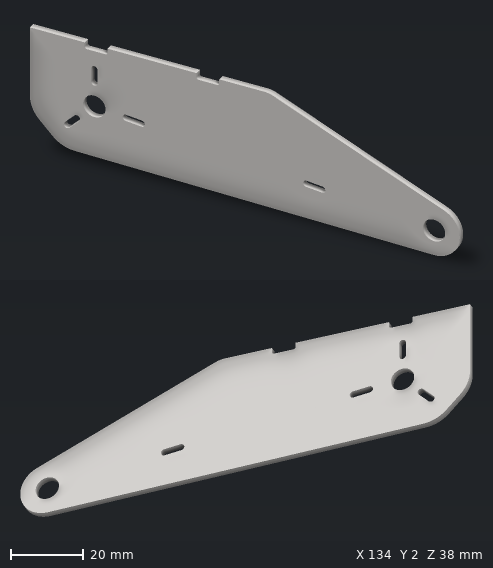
import cadquery as cq
import math

length = 134.0
height = 38.0
thickness = 2.0

tip_radius = 8.0
tip_x = length - tip_radius
tip_z = tip_radius
hole_diameter = 7.0

slope_start_x = 74.5
slope_corner_radius = 8.0
bevel = 11.8
bevel_corner_radius = 10.0
bottom_corner_z = 1.9

notch_centers_x = (20.6, 55.5)
notch_width = 7.1
notch_depth = 2.0
notch_corner_radius = 0.7

hub_x = 20.1
hub_z = height - 20.0
slot_width = 2.0
slot_length = 7.0
hub_slot_length = 6.3
hub_slot_distance = 9.9
near_slot_distance = 12.3
far_slot_distance = 37.5


def tip_tangent_point(corner, side):
    """Touching point on the tip arc of a line from corner; side 1 is above, -1 below."""
    dx = corner[0] - tip_x
    dz = corner[1] - tip_z
    spread = math.acos(tip_radius / math.hypot(dx, dz))
    angle = math.atan2(dz, dx) - side * spread
    return tip_x + tip_radius * math.cos(angle), tip_z + tip_radius * math.sin(angle)


def through_plate(sketch):
    """Extrude an XZ sketch from the front face at y = 0 to the back face."""
    return sketch.extrude(-thickness)


def make_plate():
    slope_corner = (slope_start_x, height)
    bottom_corner = (bevel - bottom_corner_z, bottom_corner_z)
    bevel_top = (0, bevel)
    plate = through_plate(
        cq.Workplane("XZ")
        .moveTo(0, height)
        .lineTo(*slope_corner)
        .lineTo(*tip_tangent_point(slope_corner, 1))
        .threePointArc((length, tip_z), tip_tangent_point(bottom_corner, -1))
        .lineTo(*bottom_corner)
        .lineTo(*bevel_top)
        .close()
    )
    corner_radii = (
        (slope_corner, slope_corner_radius),
        (bottom_corner, bevel_corner_radius),
        (bevel_top, bevel_corner_radius),
    )
    for (x, z), radius in corner_radii:
        corner_edge = cq.selectors.NearestToPointSelector((x, thickness / 2, z))
        plate = plate.edges("|Y").edges(corner_edge).fillet(radius)
    return plate


def make_notch(center_x):
    sketch = cq.Workplane("XZ").center(center_x, height).rect(notch_width, 2 * notch_depth)
    return through_plate(sketch).edges("|Y").fillet(notch_corner_radius)


def make_hole(x, z):
    return through_plate(cq.Workplane("XZ").center(x, z).circle(hole_diameter / 2))


def make_slot(start_x, start_z, distance, angle, overall_length):
    """Slot pointing along angle, its center at the given distance from the start point."""
    x = start_x + distance * math.cos(math.radians(angle))
    z = start_z + distance * math.sin(math.radians(angle))
    return through_plate(cq.Workplane("XZ").center(x, z).slot2D(overall_length, slot_width, angle))


result = make_plate()

for notch_x in notch_centers_x:
    result = result.cut(make_notch(notch_x))

for hole_x, hole_z in ((hub_x, hub_z), (tip_x, tip_z)):
    result = result.cut(make_hole(hole_x, hole_z))

for slot_angle in (90, 225):
    result = result.cut(make_slot(hub_x, hub_z, hub_slot_distance, slot_angle, hub_slot_length))

tip_angle = math.degrees(math.atan2(tip_z - hub_z, tip_x - hub_x))
result = result.cut(make_slot(hub_x, hub_z, near_slot_distance, tip_angle, slot_length))
result = result.cut(make_slot(tip_x, tip_z, -far_slot_distance, tip_angle, slot_length))